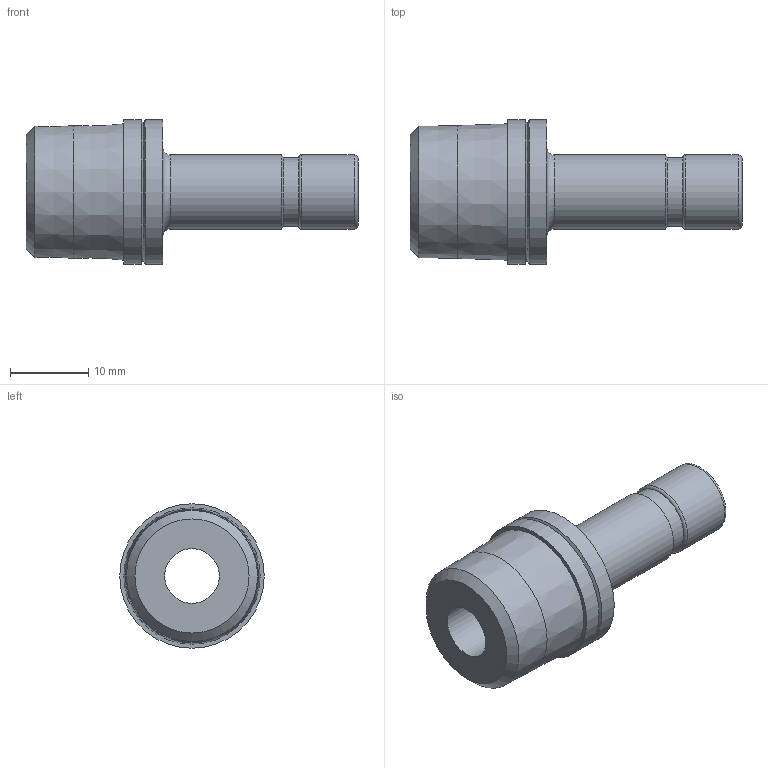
import cadquery as cq

total_length = 42.5
bore_radius = 3.5

nose_chamfer_length = 1.1
nose_face_radius = 7.3
nose_start_radius = 8.4
nose_seam_x = 6.1
nose_seam_radius = 8.5
nose_end_radius = 8.72

collar_start_x = 12.5
collar_end_x = 17.5
collar_radius = 9.25
collar_groove_center_x = 15.0
collar_groove_width = 0.5
collar_groove_radius = 8.8

shank_radius = 4.75
shank_root_fillet = 1.0
shank_end_fillet = 0.5
shank_groove_start_x = 32.75
shank_groove_taper = 0.18
shank_groove_end_x = 35.25
shank_groove_depth = 0.33


def revolve_about_x(profile):
    """Turn a closed profile, drawn in the XY plane, around the X axis."""
    return profile.close().revolve(360, (0, 0, 0), (1, 0, 0))


def make_nose():
    return revolve_about_x(
        cq.Workplane("XY")
        .lineTo(0, nose_face_radius)
        .lineTo(nose_chamfer_length, nose_start_radius)
        .lineTo(nose_seam_x, nose_seam_radius)
        .lineTo(collar_start_x, nose_end_radius)
        .lineTo(collar_start_x, 0)
    )


def make_collar():
    groove_start_x = collar_groove_center_x - collar_groove_width / 2
    groove_end_x = collar_groove_center_x + collar_groove_width / 2
    return revolve_about_x(
        cq.Workplane("XY")
        .moveTo(collar_start_x, 0)
        .lineTo(collar_start_x, collar_radius)
        .lineTo(groove_start_x, collar_radius)
        .lineTo(collar_groove_center_x, collar_groove_radius)
        .lineTo(groove_end_x, collar_radius)
        .lineTo(collar_end_x, collar_radius)
        .lineTo(collar_end_x, 0)
    )


def make_shank():
    groove_radius = shank_radius - shank_groove_depth
    return revolve_about_x(
        cq.Workplane("XY")
        .moveTo(collar_end_x, 0)
        .lineTo(collar_end_x, shank_radius + shank_root_fillet)
        .radiusArc((collar_end_x + shank_root_fillet, shank_radius), -shank_root_fillet)
        .lineTo(shank_groove_start_x, shank_radius)
        .lineTo(shank_groove_start_x + shank_groove_taper, groove_radius)
        .lineTo(shank_groove_end_x - shank_groove_depth, groove_radius)
        .radiusArc((shank_groove_end_x, shank_radius), shank_groove_depth)
        .lineTo(total_length - shank_end_fillet, shank_radius)
        .radiusArc((total_length, shank_radius - shank_end_fillet), shank_end_fillet)
        .lineTo(total_length, 0)
    )


def make_bore():
    return cq.Workplane("YZ").circle(bore_radius).extrude(total_length)


result = make_nose().union(make_collar()).union(make_shank()).cut(make_bore())